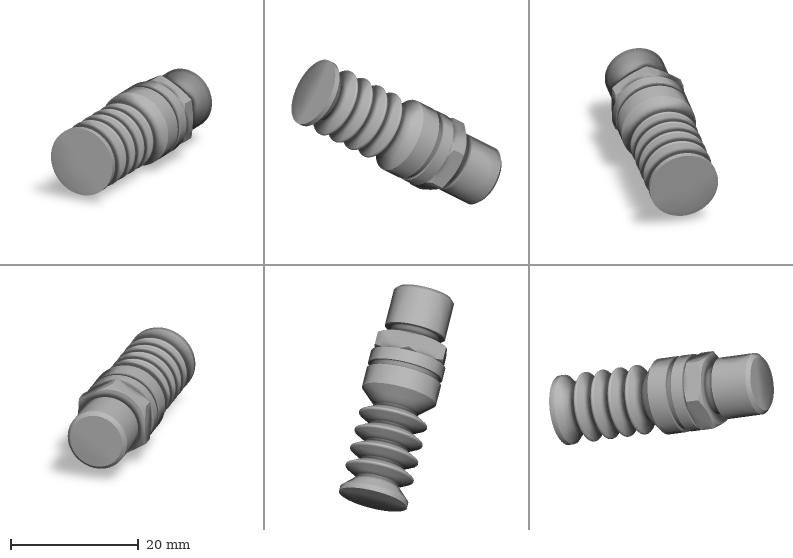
import cadquery as cq
import math

total_length = 34.4

thread_diameter = 9.73
neck_diameter = 7.8
body_diameter = 12.0
groove_diameter = 11.0
bellows_root_diameter = 6.98
bellows_crest_diameter = 11.0
flange_diameter = 11.0
hex_across_flats = 11.0

thread_length = 6.5
thread_chamfer = 0.6
neck_length = 1.5
hex_length = 3.03
collar_length = 1.95
groove_length = 0.9
body_length = 3.15
shoulder_length = 2.37
flange_thickness = 0.85
flange_cone_length = 1.95

fold_count = 4
fold_pitch = 2.95
crest_radius = 0.3
flank_angle = math.radians(30)
hex_chamfer_angle = math.radians(30)
envelope_clearance = 0.35

thread_end = total_length - thread_length
hex_top = thread_end - neck_length
hex_bottom = hex_top - hex_length
collar_end = hex_bottom - collar_length
groove_end = collar_end - groove_length
body_end = groove_end - body_length
shoulder_end = body_end - shoulder_length
flange_cone_end = flange_thickness + flange_cone_length

root_radius = bellows_root_diameter / 2
bellows_middle = (shoulder_end + flange_cone_end) / 2


def add_fold(profile, crest_y):
    """Add one bellows fold: a flank, a rounded crest tangent to both flanks, and a flank."""
    crest_tip = bellows_crest_diameter / 2
    tangent_radius = crest_tip - crest_radius + crest_radius * math.sin(flank_angle)
    tangent_offset = crest_radius * math.cos(flank_angle)
    foot_offset = tangent_offset + (tangent_radius - root_radius) * math.tan(flank_angle)
    return (
        profile.lineTo(root_radius, crest_y - foot_offset)
        .lineTo(tangent_radius, crest_y - tangent_offset)
        .threePointArc((crest_tip, crest_y), (tangent_radius, crest_y + tangent_offset))
        .lineTo(root_radius, crest_y + foot_offset)
    )


def make_turned_body():
    """Revolve the half profile, drawn from the flange up to the threaded end."""
    profile = (
        cq.Workplane("XY")
        .lineTo(flange_diameter / 2, 0)
        .lineTo(flange_diameter / 2, flange_thickness)
        .lineTo(root_radius, flange_cone_end)
    )
    for fold in range(fold_count):
        crest_y = bellows_middle + (fold - (fold_count - 1) / 2) * fold_pitch
        profile = add_fold(profile, crest_y)
    return (
        profile.lineTo(root_radius, shoulder_end)
        .lineTo(body_diameter / 2, body_end)
        .lineTo(body_diameter / 2, groove_end)
        .lineTo(groove_diameter / 2, groove_end)
        .lineTo(groove_diameter / 2, collar_end)
        .lineTo(body_diameter / 2, collar_end)
        .lineTo(body_diameter / 2, hex_bottom)
        .lineTo(neck_diameter / 2, hex_bottom)
        .lineTo(neck_diameter / 2, thread_end)
        .lineTo(thread_diameter / 2, thread_end)
        .lineTo(thread_diameter / 2, total_length - thread_chamfer)
        .lineTo(thread_diameter / 2 - thread_chamfer, total_length)
        .lineTo(0, total_length)
        .close()
        .revolve(360, (0, 0, 0), (0, 1, 0))
    )


def make_hex():
    """Hexagon with corners on +Z and -Z, its corners cut by a cone at both ends."""
    across_corners = hex_across_flats / math.cos(math.pi / 6)
    prism = (
        cq.Workplane("XZ", origin=(0, hex_top, 0))
        .transformed(rotate=(0, 0, 90))
        .polygon(6, across_corners)
        .extrude(hex_length)
    )
    end_radius = hex_across_flats / 2
    envelope_radius = across_corners / 2 + envelope_clearance
    cone_length = (envelope_radius - end_radius) * math.tan(hex_chamfer_angle)
    envelope = (
        cq.Workplane("XY")
        .moveTo(0, hex_bottom)
        .lineTo(end_radius, hex_bottom)
        .lineTo(envelope_radius, hex_bottom + cone_length)
        .lineTo(envelope_radius, hex_top - cone_length)
        .lineTo(end_radius, hex_top)
        .lineTo(0, hex_top)
        .close()
        .revolve(360, (0, 0, 0), (0, 1, 0))
    )
    return prism.intersect(envelope)


result = make_turned_body().union(make_hex())